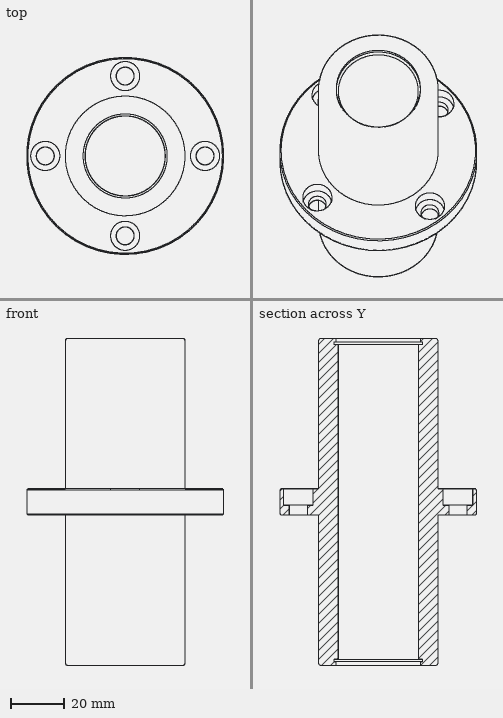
import cadquery as cq

length = 123.0
sleeve_diameter = 45.0
sleeve_edge_radius = 1.0

bore_diameter = 30.0
mouth_diameter = 31.6
mouth_depth = 1.5
groove_diameter = 33.2
groove_width = 0.9

flange_diameter = 74.0
flange_thickness = 10.0
flange_edge_chamfer = 0.5

hole_count = 4
hole_circle_diameter = 60.0
hole_diameter = 6.6
counterbore_diameter = 11.0
counterbore_depth = 6.2


def cylinder(diameter, height, center_z=0):
    """Cylinder on the Z axis, centred at the given height."""
    base = cq.Workplane("XY", origin=(0, 0, center_z - height / 2))
    return base.circle(diameter / 2).extrude(height)


def make_body():
    sleeve = cylinder(sleeve_diameter, length)
    sleeve = sleeve.faces("|Z").edges().fillet(sleeve_edge_radius)
    flange = cylinder(flange_diameter, flange_thickness)
    flange = flange.faces("|Z").edges().chamfer(flange_edge_chamfer)
    return sleeve.union(flange)


def cut_bore(body):
    body = body.cut(cylinder(bore_diameter, length))
    mouth_center = (length - mouth_depth) / 2
    groove_center = length / 2 - mouth_depth - groove_width / 2
    for side in (-1, 1):
        body = body.cut(cylinder(mouth_diameter, mouth_depth, side * mouth_center))
        body = body.cut(cylinder(groove_diameter, groove_width, side * groove_center))
    return body


def cut_mounting_holes(body):
    flange_top = cq.Workplane("XY", origin=(0, 0, flange_thickness / 2))
    return (
        body.copyWorkplane(flange_top)
        .polarArray(hole_circle_diameter / 2, 0, 360, hole_count)
        .cboreHole(hole_diameter, counterbore_diameter, counterbore_depth, flange_thickness)
    )


result = cut_mounting_holes(cut_bore(make_body()))